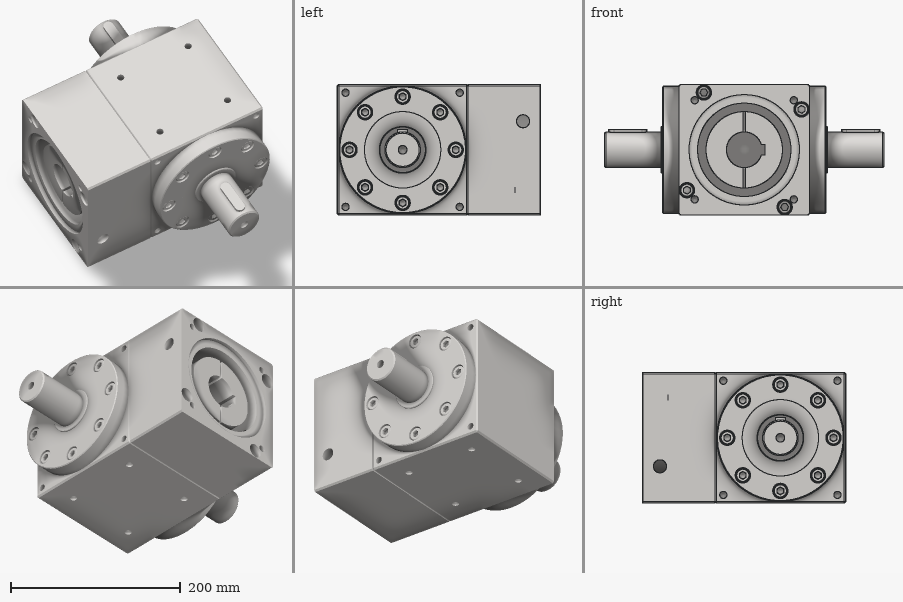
import cadquery as cq
import math


case_size = 154.0
case_half = case_size / 2
edge_chamfer = 2.0
adapter_length = 85.0
adapter_face_y = -(case_half + adapter_length)

flange_radius = 75.0
flange_thickness = 19.0
flange_chamfer = 1.0
flange_face_x = case_half + flange_thickness

tapped_radius = 4.25
tapped_depth = 20.0
drill_point_angle = 118.0
case_side_hole_circle = 190.0
case_top_hole_circle = 130.0
motor_hole_circle = 165.0

screw_head_radius = 8.0
screw_head_height = 10.0
screw_head_chamfer = 0.8
screw_recess_radius = 9.0
screw_hex_width = 8.0
screw_hex_depth = 5.0
flange_screw_count = 8
flange_screw_circle = 125.0
flange_screw_recess_depth = 11.0
adapter_screw_count = 4
adapter_screw_angle = 35.2
adapter_screw_recess_depth = 30.0

centring_radius = 65.0
centring_depth = 5.0
pocket_radius = 55.0
pocket_depth = 45.0
access_hole_radius = 7.7
access_hole_setback = 20.3
access_hole_z = 33.6

hub_radius = 45.0
hub_setback = 10.0
hub_bore_radius = 21.0
hub_slit_width = 3.0
hub_keyway_width = 12.5
hub_keyway_reach = 24.6
hub_face_y = adapter_face_y + hub_setback
hub_inner_y = -case_half
pocket_floor_y = adapter_face_y + pocket_depth

shaft_length = 329.0
shaft_radius = 21.0
shaft_end_chamfer = 1.5
shaft_collar_radius = 27.5
shaft_collar_protrusion = 2.0
shaft_collar_chamfer = 0.7
seal_disc_radius = 45.0
centre_hole_radius = 5.1
centre_hole_depth = 25.0
key_length = 45.0
key_width = 12.0
key_top_z = 24.0
key_seat_z = 16.0
key_end_distance = 5.0
shaft_end_x = shaft_length / 2
collar_end_x = flange_face_x + shaft_collar_protrusion


def square_pattern(circle_diameter):
    """Corners of a square whose corners lie on the given hole circle."""
    offset = circle_diameter / 2 * math.sqrt(0.5)
    return [(sx * offset, sy * offset) for sx in (-1, 1) for sy in (-1, 1)]


def rod(radius, start, length, direction):
    return cq.Workplane(cq.Solid.makeCylinder(radius, length, cq.Vector(*start), cq.Vector(*direction)))


def drilled_hole(radius, depth, start, direction):
    """Blind hole with the cone left by the drill point."""
    point_length = radius / math.tan(math.radians(drill_point_angle / 2))
    axis = cq.Vector(*direction)
    shoulder = cq.Vector(*start) + axis * depth
    point = cq.Solid.makeCone(radius, 0, point_length, shoulder, axis)
    return rod(radius, start, depth, direction).union(cq.Workplane(point))


def make_case_and_adapter():
    case = cq.Workplane("XY").box(case_size, case_size, case_size).edges().chamfer(edge_chamfer)
    adapter = (
        cq.Workplane("XY")
        .box(case_size, adapter_length, case_size)
        .edges("|Y")
        .chamfer(edge_chamfer)
        .translate((0, -case_half - adapter_length / 2, 0))
    )
    return case.union(adapter)


def make_flange(side):
    flange = rod(flange_radius, (side * case_half, 0, 0), flange_thickness, (side, 0, 0))
    return flange.faces(">X" if side > 0 else "<X").chamfer(flange_chamfer)


def screw_cut(recess_depth, pointed_socket):
    """Recess along +Z with a screw head left standing on its floor; the hex corners lie along X."""
    head_face = recess_depth - screw_head_height
    hex_diameter = screw_hex_width / math.cos(math.pi / 6)
    recess = cq.Workplane("XY").circle(screw_recess_radius).extrude(recess_depth)
    head = (
        cq.Workplane("XY", origin=(0, 0, head_face))
        .circle(screw_head_radius)
        .extrude(screw_head_height)
        .faces("<Z")
        .chamfer(screw_head_chamfer)
    )
    socket = (
        cq.Workplane("XY", origin=(0, 0, head_face))
        .polygon(6, hex_diameter)
        .extrude(screw_hex_depth)
    )
    if pointed_socket:
        drill = drilled_hole(screw_hex_width / 2, screw_hex_depth, (0, 0, head_face), (0, 0, 1))
        socket = socket.union(drill)
    return recess.cut(head.cut(socket))


def flange_screw_cuts(side):
    cuts = cq.Workplane("XY")
    reach = flange_screw_circle / 2
    inward_cut = screw_cut(flange_screw_recess_depth, True).rotate((0, 0, 0), (0, 1, 0), -90 * side)
    for index in range(flange_screw_count):
        angle = 2 * math.pi * index / flange_screw_count
        centre = (side * flange_face_x, reach * math.cos(angle), reach * math.sin(angle))
        cuts = cuts.add(inward_cut.translate(centre))
    return cuts.combine()


def adapter_screw_cuts():
    cuts = cq.Workplane("XY")
    inward_cut = screw_cut(adapter_screw_recess_depth, False).rotate((0, 0, 0), (1, 0, 0), -90)
    first_cut = inward_cut.translate((motor_hole_circle / 2, adapter_face_y, 0))
    for index in range(adapter_screw_count):
        angle = adapter_screw_angle + 360 / adapter_screw_count * index
        cuts = cuts.add(first_cut.rotate((0, 0, 0), (0, 1, 0), -angle))
    return cuts.combine()


def tapped_holes():
    holes = cq.Workplane("XY")
    for x, z in square_pattern(motor_hole_circle):
        holes = holes.add(drilled_hole(tapped_radius, tapped_depth, (x, adapter_face_y, z), (0, 1, 0)))
    for side in (-1, 1):
        for y, z in square_pattern(case_side_hole_circle):
            start = (side * case_half, y, z)
            holes = holes.add(drilled_hole(tapped_radius, tapped_depth, start, (-side, 0, 0)))
        for x, y in square_pattern(case_top_hole_circle):
            start = (x, y, side * case_half)
            holes = holes.add(drilled_hole(tapped_radius, tapped_depth, start, (0, 0, -side)))
    return holes.combine()


def motor_openings():
    centring = rod(centring_radius, (0, adapter_face_y, 0), centring_depth, (0, 1, 0))
    pocket = rod(pocket_radius, (0, adapter_face_y, 0), pocket_depth, (0, 1, 0))
    hub_seat = rod(hub_radius, (0, pocket_floor_y, 0), hub_inner_y - pocket_floor_y, (0, 1, 0))
    openings = centring.union(pocket).union(hub_seat)
    for side in (-1, 1):
        start = (0, adapter_face_y + access_hole_setback, -side * access_hole_z)
        openings = openings.union(rod(access_hole_radius, start, case_half, (side, 0, 0)))
    return openings


def shaft_blank():
    """Shaft with its collars and seal discs, before the end holes and keys."""
    blank = rod(shaft_radius, (-shaft_end_x, 0, 0), shaft_length, (1, 0, 0))
    blank = blank.faces("<X or >X").chamfer(shaft_end_chamfer)
    core = rod(shaft_collar_radius, (-collar_end_x, 0, 0), 2 * collar_end_x, (1, 0, 0))
    blank = blank.union(core.faces("<X or >X").chamfer(shaft_collar_chamfer))
    for side in (-1, 1):
        disc = rod(seal_disc_radius, (side * case_half, 0, 0), flange_thickness, (side, 0, 0))
        blank = blank.union(disc)
    return blank


def make_key(side):
    centre_x = side * (shaft_end_x - key_end_distance - key_length / 2)
    return (
        cq.Workplane("XY", origin=(centre_x, 0, key_seat_z))
        .slot2D(key_length, key_width)
        .extrude(key_top_z - key_seat_z)
    )


def make_shaft():
    shaft = shaft_blank()
    for side in (-1, 1):
        shaft = shaft.union(make_key(side))
        shaft = shaft.cut(
            drilled_hole(centre_hole_radius, centre_hole_depth, (side * shaft_end_x, 0, 0), (-side, 0, 0))
        )
    return shaft


def make_hub():
    length = hub_inner_y - hub_face_y
    hub = rod(hub_radius, (0, hub_face_y, 0), length, (0, 1, 0))
    bore = rod(hub_bore_radius, (0, hub_face_y, 0), length, (0, 1, 0))
    keyway = (
        cq.Workplane("XY")
        .box(hub_keyway_reach, length, hub_keyway_width, centered=(False, False, True))
        .translate((0, hub_face_y, 0))
    )
    slit_length = pocket_floor_y - hub_face_y
    slit = (
        cq.Workplane("XY")
        .box(hub_slit_width, slit_length, 2 * hub_radius, centered=(True, False, True))
        .translate((0, hub_face_y, 0))
    )
    return hub.cut(bore).cut(keyway).cut(slit)


def make_housing():
    housing = make_case_and_adapter()
    for side in (-1, 1):
        housing = housing.union(make_flange(side)).cut(flange_screw_cuts(side))
    housing = housing.cut(tapped_holes()).cut(adapter_screw_cuts()).cut(motor_openings())
    return housing.cut(shaft_blank())


housing = make_housing()
shaft = make_shaft()
hub = make_hub()

result = cq.Compound.makeCompound([housing.val(), shaft.val(), hub.val()])